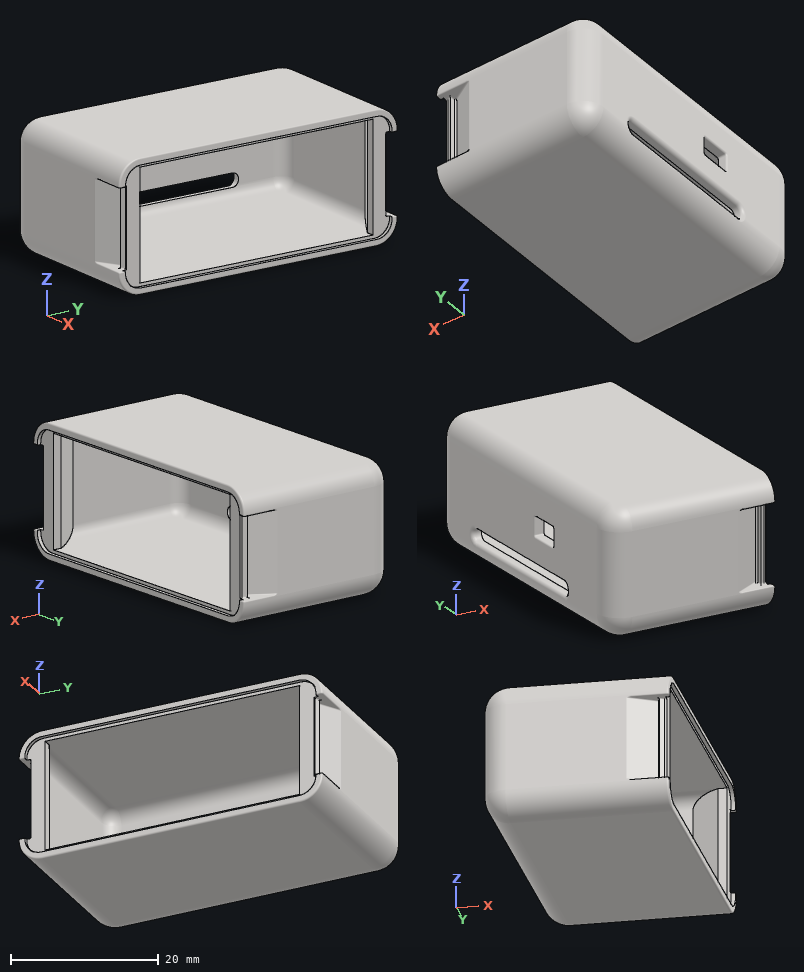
import cadquery as cq
import math

length_x = 26.15
width_y = 46.0
height_z = 19.5
outer_radius = 3.55
wall = 1.5
rim_edge_radius = 0.28

rim_thickness = 1.0
rabbet_depth = 0.6
ledge_x = length_x - rabbet_depth

ramp_angle = 30.0
ramp_start_x = 20.35
ramp_end_x = 24.25
ramp_run = ramp_end_x - ramp_start_x
ramp_depth = ramp_run * math.tan(math.radians(ramp_angle))
step_x = 24.55
step_foot_rise = 0.15
hook_end_x = 25.2
hook_depth = 1.6
hook_tip_depth = hook_depth - (hook_end_x - step_x) * math.tan(math.radians(ramp_angle))
recess_edge_radius = 0.2
recess_margin = 0.25
recess_height = height_z - 2 * (outer_radius + recess_margin)
recess_corner_radius = 0.2

port_width = 4.9
port_height = 3.0
port_y = -5.4
port_z = 1.1
port_radius = 0.28

slot_length = 25.15
slot_height = 2.02
slot_y = 1.1
slot_z = -5.45
slot_edge_radius = 0.6

clearance = 0.45


def sharp_box(start_x, end_x, inset):
    """Box between two X stations, inset from the case sides in Y and Z."""
    size = (end_x - start_x, width_y - 2 * inset, height_z - 2 * inset)
    return cq.Workplane("XY").box(*size, centered=(False, True, True)).translate((start_x, 0, 0))


def rounded_box(start_x, end_x, inset, radius):
    """Sharp box with every edge rounded except those of its +X face."""
    return sharp_box(start_x, end_x, inset).edges("|X or <X").fillet(radius)


def vertical_prism(points, height):
    """Outline in the XY plane extruded symmetrically about Z = 0."""
    return cq.Workplane("XY").polyline(points).close().extrude(height / 2, both=True)


def both_y_sides(solid):
    return solid.union(solid.mirror("XZ"))


def edges_inside(solid, x_range, y_range, z_range):
    """Edges that lie wholly inside a box."""
    low, high = zip(x_range, y_range, z_range)
    return solid.edges(cq.selectors.BoxSelector(low, high, boundingbox=True))


def latch_recess():
    """Cutter for the -Y recess, rounded where its ramp and hook meet the recess ends."""
    case_y = -width_y / 2
    clear_y = case_y - ramp_depth
    clear_x = ramp_start_x - ramp_run
    end_x = length_x + clearance
    points = [
        (clear_x, clear_y),
        (ramp_end_x, case_y + ramp_depth),
        (step_x, case_y + ramp_depth - step_foot_rise),
        (step_x, case_y + hook_tip_depth),
        (hook_end_x, case_y + hook_depth),
        (end_x, case_y + hook_depth),
        (end_x, clear_y),
    ]
    prism = vertical_prism(points, recess_height)
    rounded_edges = prism.faces("|Z").edges("not(<Y or >X)")
    return rounded_edges.fillet(recess_corner_radius)


def pinched_wall():
    """Wall behind the -Y recess, following its ramp one wall thickness further in."""
    outer_y = -width_y / 2 + wall / 2
    inner_y = -width_y / 2 + wall
    points = [
        (ramp_start_x, outer_y),
        (ramp_start_x, inner_y),
        (ramp_end_x, inner_y + ramp_depth),
        (ledge_x, inner_y + ramp_depth),
        (ledge_x, outer_y),
    ]
    return vertical_prism(points, height_z)


def outer_body():
    """Solid case with its rim rounded and both latch recesses cut and edge-rounded."""
    body = rounded_box(0, length_x, 0, outer_radius)
    body = body.faces(">X").edges().fillet(rim_edge_radius)
    body = body.cut(both_y_sides(latch_recess()))
    half_z = recess_height / 2 + recess_edge_radius
    for side in (-1, 1):
        y_range = sorted((side * (width_y / 2 - clearance), side * (width_y / 2 + clearance)))
        opening = edges_inside(
            body, (ramp_start_x - clearance, length_x + clearance), y_range, (-half_z, half_z)
        )
        body = opening.edges("not(|Z)").fillet(recess_edge_radius)
    return body


def cavity():
    """Hollow one wall thickness inside the case, with the pinched walls left standing."""
    hollow = rounded_box(wall, length_x + clearance, wall, outer_radius - wall)
    return hollow.cut(both_y_sides(pinched_wall()))


def rabbet():
    pocket = sharp_box(ledge_x, length_x + clearance, rim_thickness)
    return pocket.edges("|X").fillet(outer_radius - rim_thickness)


def port_cutter():
    port = cq.Workplane("YZ").center(port_y, port_z).rect(port_width, port_height)
    return port.extrude(2 * wall, both=True).edges("|X").fillet(port_radius)


def slot_cutter():
    slot = cq.Workplane("YZ").center(slot_y, slot_z).slot2D(slot_length, slot_height)
    return slot.extrude(3 * wall, both=True)


def round_opening(solid, y, z, width, height, radius):
    """Round the outer edge of an opening in the -X wall."""
    rim = edges_inside(
        solid,
        (-clearance, wall / 2),
        (y - width / 2 - clearance, y + width / 2 + clearance),
        (z - height / 2 - clearance, z + height / 2 + clearance),
    )
    return rim.edges("not(|X)").fillet(radius)


case = outer_body().cut(port_cutter()).cut(slot_cutter())
case = round_opening(case, port_y, port_z, port_width, port_height, port_radius)
case = round_opening(case, slot_y, slot_z, slot_length, slot_height, slot_edge_radius)
result = case.cut(cavity()).cut(rabbet())